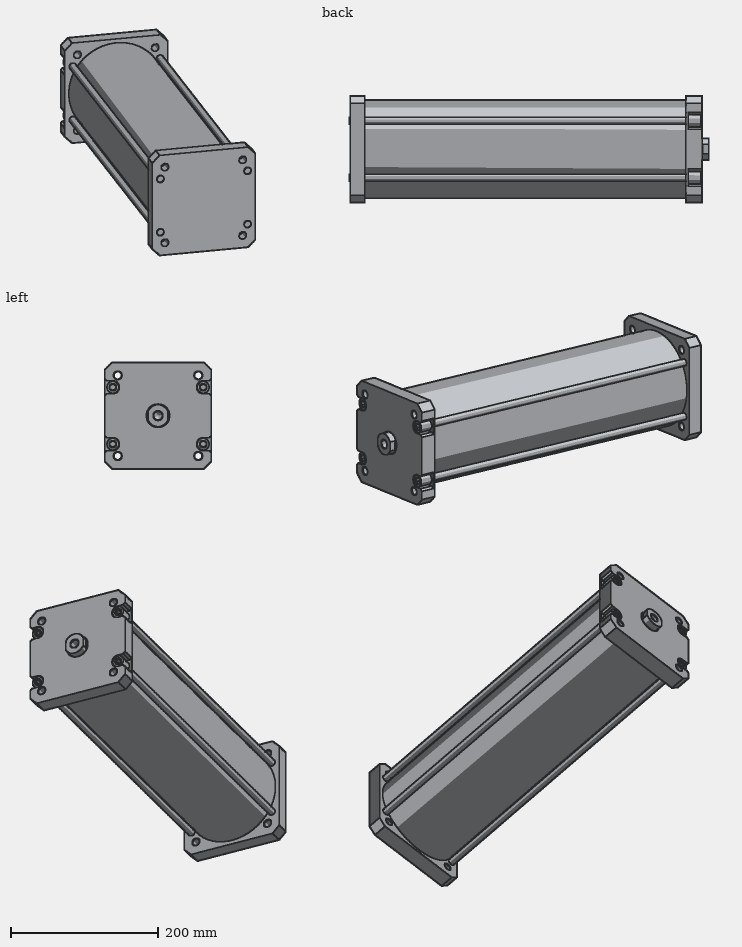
import cadquery as cq
import math

total_length = 488.0
rod_projection = 9.5
tie_projection = 1.5
head_thickness = 22.0
cap_thickness = 20.0

plate_side = 145.0
corner_chamfer = 10.2
mount_spacing = 109.5
mount_diameter = 10.2
mount_mouth = 11.5
mouth_angle = 90.0

barrel_diameter = 133.5

tie_spacing_y = 122.5
tie_spacing_z = 77.0
tie_diameter = 10.0
tie_head_diameter = 16.0
tie_head_recess = 1.5
socket_flats = 8.0
socket_mouth = 10.0
socket_depth = 10.0

pocket_width = 17.5
pocket_depth = 19.0
pocket_mouth_chamfer = 3.0

rod_diameter = 30.0
rod_seat_mouth = 31.5
rod_flats = 27.0
rod_flat_length = 8.5
rod_bore_diameter = 11.5
rod_bore_mouth = 13.0
rod_bore_depth = 14.5
drill_point_angle = 118.0

rod_front = -total_length / 2
head_front = rod_front + rod_projection
head_back = head_front + head_thickness
tie_end = total_length / 2
cap_back = tie_end - tie_projection
cap_front = cap_back - cap_thickness
pocket_floor = head_front + pocket_depth
tie_head_front = head_front + tie_head_recess

tie_places = [
    (side_y * tie_spacing_y / 2, side_z * tie_spacing_z / 2)
    for side_y in (-1, 1)
    for side_z in (-1, 1)
]


def section_at(x):
    """Workplane facing +X at station x, with local axes along Y and Z."""
    return cq.Workplane("YZ", origin=(x, 0, 0))


def cylinder(x_start, x_end, diameter, y=0.0, z=0.0):
    """Cylinder along X between two stations."""
    return section_at(x_start).center(y, z).circle(diameter / 2).extrude(x_end - x_start)


def mouth_cone(x, diameter, y=0.0, z=0.0):
    """Cone that opens toward -X at station x, for chamfering a hole mouth."""
    radius = diameter / 2
    depth = radius / math.tan(math.radians(mouth_angle / 2))
    cone = cq.Solid.makeCone(radius, 0, depth, cq.Vector(x, y, z), cq.Vector(1, 0, 0))
    return cq.Workplane(cone)


def end_plate(x_start, x_end):
    """Square plate with chamfered corners, mounting holes and tie rod holes."""
    return (
        section_at(x_start)
        .rect(plate_side, plate_side)
        .extrude(x_end - x_start)
        .edges("|X")
        .chamfer(corner_chamfer)
        .faces("<X")
        .workplane(origin=(0, 0, 0))
        .rect(mount_spacing, mount_spacing, forConstruction=True)
        .vertices()
        .cskHole(mount_diameter, mount_mouth, mouth_angle)
        .faces("<X")
        .workplane(origin=(0, 0, 0))
        .rect(tie_spacing_y, tie_spacing_z, forConstruction=True)
        .vertices()
        .hole(tie_diameter)
    )


def head_pocket(y, z):
    """Round-ended pocket for a tie rod head, open to the near side with a chamfered mouth."""
    outward = math.copysign(1, y)
    side = outward * plate_side / 2
    throat = side - outward * pocket_mouth_chamfer
    half_width = pocket_width / 2
    half_mouth = half_width + pocket_mouth_chamfer
    return (
        section_at(head_front)
        .moveTo(y, z + half_width)
        .lineTo(throat, z + half_width)
        .lineTo(side, z + half_mouth)
        .lineTo(side, z - half_mouth)
        .lineTo(throat, z - half_width)
        .lineTo(y, z - half_width)
        .threePointArc((y - outward * half_width, z), (y, z + half_width))
        .close()
        .extrude(pocket_depth)
    )


def make_head():
    """Front plate with the rod bore and the four tie rod pockets."""
    head = end_plate(head_front, head_back)
    head = head.cut(cylinder(head_front, head_back, rod_diameter))
    head = head.cut(mouth_cone(head_front, rod_seat_mouth))
    for y, z in tie_places:
        head = head.cut(head_pocket(y, z))
    return head


def make_tie_rod(y, z):
    """Tie rod with a round head that has a hexagon socket, corners up and down."""
    shank = cylinder(pocket_floor, tie_end, tie_diameter, y, z)
    head = cylinder(tie_head_front, pocket_floor, tie_head_diameter, y, z)
    socket_corners = 2 * socket_flats / math.sqrt(3)
    socket = (
        section_at(tie_head_front)
        .center(y, z)
        .transformed(rotate=(0, 0, 90))
        .polygon(6, socket_corners)
        .extrude(socket_depth)
    )
    socket_chamfer = mouth_cone(tie_head_front, socket_mouth, y, z)
    return shank.union(head).cut(socket).cut(socket_chamfer)


def make_piston_rod():
    """Rod end with two wrench flats and a drilled hole in its tip."""
    rod = cylinder(rod_front, head_back, rod_diameter)
    flatted_end = (
        section_at(rod_front)
        .rect(rod_flats, 2 * rod_diameter)
        .extrude(rod_flat_length)
    )
    full_round = cylinder(rod_front + rod_flat_length, head_back, rod_diameter)
    rod = rod.intersect(flatted_end.union(full_round))

    bore_radius = rod_bore_diameter / 2
    mouth_radius = rod_bore_mouth / 2
    bore_end = rod_front + rod_bore_depth
    point_length = bore_radius / math.tan(math.radians(drill_point_angle / 2))
    bore = (
        cq.Workplane("XY")
        .moveTo(rod_front, 0)
        .lineTo(rod_front, mouth_radius)
        .lineTo(rod_front + mouth_radius - bore_radius, bore_radius)
        .lineTo(bore_end, bore_radius)
        .lineTo(bore_end + point_length, 0)
        .close()
        .revolve(360, (0, 0, 0), (1, 0, 0))
    )
    return rod.cut(bore)


head = make_head()
rear_cap = end_plate(cap_front, cap_back)
barrel = cylinder(head_back, cap_front, barrel_diameter)
piston_rod = make_piston_rod()
tie_rods = [make_tie_rod(y, z) for y, z in tie_places]

result = cq.Compound.makeCompound(
    [head.val(), rear_cap.val(), barrel.val(), piston_rod.val()]
    + [tie_rod.val() for tie_rod in tie_rods]
)